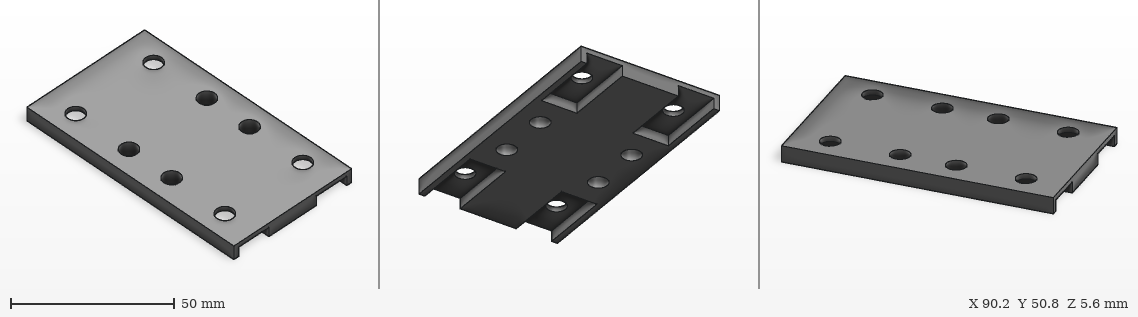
import cadquery as cq

length = 90.2
width = 50.8
height = 5.6

hole_diameter = 6.6
outer_hole_x = 32.5
inner_hole_x = 9.3
hole_y = 16.8

web_thickness = 1.8
pocket_width = 13.0
pocket_depth = height - web_thickness
pocket_length = 2 * (length / 2 - outer_hole_x)


def end_pocket(side_x, side_y):
    """Square-ended pocket running inward from one plate end, past an outer hole."""
    center = (side_x * outer_hole_x, side_y * hole_y)
    return (
        cq.Workplane("XY")
        .center(*center)
        .rect(pocket_length, pocket_width)
        .extrude(pocket_depth)
    )


plate = cq.Workplane("XY").box(length, width, height, centered=(True, True, False))

for side_x in (-1, 1):
    for side_y in (-1, 1):
        plate = plate.cut(end_pocket(side_x, side_y))

hole_centers = [
    (side_x * hole_x, side_y * hole_y)
    for hole_x in (outer_hole_x, inner_hole_x)
    for side_x in (-1, 1)
    for side_y in (-1, 1)
]
holes = cq.Workplane("XY").pushPoints(hole_centers).circle(hole_diameter / 2).extrude(height)

result = plate.cut(holes)